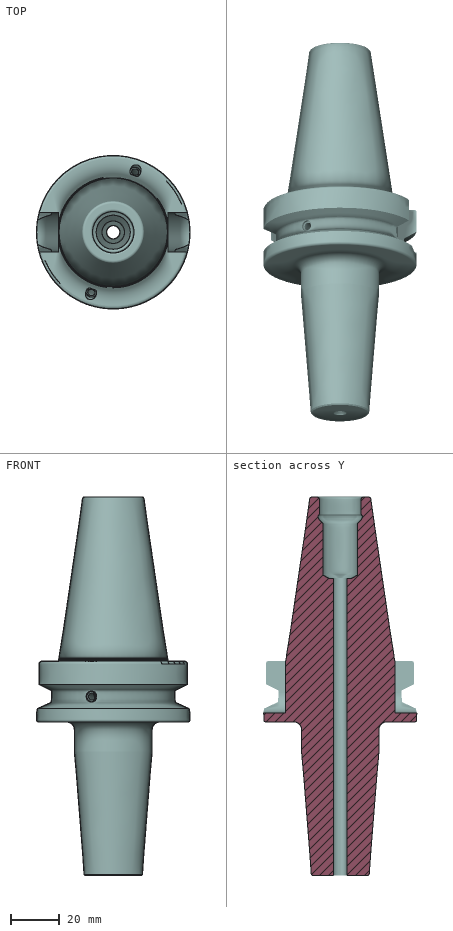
import cadquery as cq
import math


taper_ratio = 7 / 24
taper_length = 65.4
gauge_radius = 44.45 / 2
taper_end_radius = gauge_radius - taper_length * taper_ratio / 2
taper_end_fillet = 1.0

taper_land = 0.6
step_radius = 22.4
step_top_z = -1.1
step_flare = 0.4

flange_radius = 63.0 / 2
flange_top_z = -2.0
flange_bottom_z = -27.0
flange_top_fillet = 1.2
flange_bottom_fillet = 1.0
groove_radius = 53.0 / 2
groove_center_z = -16.5
groove_mouth_width = 10.0
groove_floor_width = 4.8
groove_fillet = 0.6

slot_width = 16.1
slot_floor_distance = 22.5
slot_bottom_z = -23.2

nose_end_z = -90.0
nose_end_radius = 12.0
nose_end_chamfer = 0.5
collar_radius = 16.0
collar_fillet = 3.0
nose_angle = math.radians(4.5)
nose_cone_length = (collar_radius - nose_end_radius) / math.tan(nose_angle)

bore_radius = 8.5
bore_mouth_fillet = 0.9
bore_depth = 7.0
relief_radius = 9.0
relief_width = 2.4
relief_flank = 0.9
thread_radius = 7.0
thread_depth = 32.0
drill_cone_end_radius = 4.6
drill_cone_angle = math.radians(60)
through_radius = 2.7

coolant_angles = (70, 250)
coolant_diameter = 3.0
coolant_mouth_diameter = 4.4
coolant_mouth_depth = 1.0
coolant_mouth_distance = 26.8
coolant_tilt = math.radians(30)


profile_plane = cq.Plane(origin=(0, 0, 0), xDir=(0, -1, 0), normal=(-1, 0, 0))


def groove_floor_edges():
    """Box selector around the groove floor; its circles are where the floor meets the sloping walls."""
    return cq.selectors.BoxSelector(
        (-flange_radius, -flange_radius, groove_center_z - groove_floor_width),
        (flange_radius, flange_radius, groove_center_z + groove_floor_width),
    )


def make_body():
    """Revolve the outer outline: nose, collar, flange and taper."""
    groove_top_z = groove_center_z + groove_mouth_width / 2
    groove_low_z = groove_center_z - groove_mouth_width / 2
    outline = (
        cq.Workplane(profile_plane)
        .moveTo(0, nose_end_z)
        .lineTo(nose_end_radius - nose_end_chamfer, nose_end_z)
        .lineTo(nose_end_radius, nose_end_z + nose_end_chamfer)
        .lineTo(collar_radius, nose_end_z + nose_cone_length)
        .lineTo(collar_radius, flange_bottom_z - collar_fillet)
        .radiusArc((collar_radius + collar_fillet, flange_bottom_z), collar_fillet)
        .lineTo(flange_radius - flange_bottom_fillet, flange_bottom_z)
        .radiusArc((flange_radius, flange_bottom_z + flange_bottom_fillet), -flange_bottom_fillet)
        .lineTo(flange_radius, groove_low_z)
        .lineTo(groove_radius, groove_center_z - groove_floor_width / 2)
        .lineTo(groove_radius, groove_center_z + groove_floor_width / 2)
        .lineTo(flange_radius, groove_top_z)
        .lineTo(flange_radius, flange_top_z - flange_top_fillet)
        .radiusArc((flange_radius - flange_top_fillet, flange_top_z), -flange_top_fillet)
        .lineTo(step_radius + step_flare, flange_top_z)
        .radiusArc((step_radius, flange_top_z + step_flare), step_flare)
        .lineTo(step_radius, step_top_z)
        .lineTo(gauge_radius, -taper_land)
        .lineTo(gauge_radius, 0)
        .lineTo(taper_end_radius, taper_length - taper_end_fillet)
        .radiusArc((taper_end_radius - taper_end_fillet, taper_length), -taper_end_fillet)
        .lineTo(0, taper_length)
        .close()
    )
    body = outline.revolve(360, (0, 0, 0), (0, 1, 0))
    return body.edges("%CIRCLE").edges(groove_floor_edges()).fillet(groove_fillet)


def make_bore():
    """Revolve the stepped axial bore that runs through the whole part."""
    step_z = taper_length - bore_depth
    relief_low_z = step_z - relief_width
    cone_z = taper_length - thread_depth
    cone_height = (thread_radius - drill_cone_end_radius) / math.tan(drill_cone_angle)
    return (
        cq.Workplane(profile_plane)
        .moveTo(0, nose_end_z)
        .lineTo(through_radius, nose_end_z)
        .lineTo(through_radius, cone_z - cone_height)
        .lineTo(drill_cone_end_radius, cone_z - cone_height)
        .lineTo(thread_radius, cone_z)
        .lineTo(thread_radius, relief_low_z - (bore_radius - thread_radius))
        .lineTo(bore_radius, relief_low_z)
        .lineTo(relief_radius, relief_low_z + relief_flank)
        .lineTo(relief_radius, step_z - relief_flank)
        .lineTo(bore_radius, step_z)
        .lineTo(bore_radius, taper_length - bore_mouth_fillet)
        .radiusArc((bore_radius + bore_mouth_fillet, taper_length), bore_mouth_fillet)
        .lineTo(0, taper_length)
        .close()
        .revolve(360, (0, 0, 0), (0, 1, 0))
    )


def make_slot(side):
    """Round-bottomed drive slot, open upwards and outwards, on side -1 or +1 of X."""
    arc_z = slot_bottom_z + slot_width / 2
    half = slot_width / 2
    return (
        cq.Workplane("YZ", origin=(side * slot_floor_distance, 0, 0))
        .moveTo(-half, 0)
        .lineTo(-half, arc_z)
        .threePointArc((0, slot_bottom_z), (half, arc_z))
        .lineTo(half, 0)
        .close()
        .extrude(side * flange_radius)
    )


def stepped_hole(start, direction, length):
    """Hole running from its inner end to the surface, widened over the last stretch at the mouth."""
    mouth = start + direction * (length - coolant_mouth_depth)
    overrun = coolant_mouth_diameter
    narrow = cq.Solid.makeCylinder(coolant_diameter / 2, length, start, direction)
    wide = cq.Solid.makeCylinder(coolant_mouth_diameter / 2, coolant_mouth_depth + overrun, mouth, direction)
    return cq.Workplane(narrow).union(cq.Workplane(wide))


def make_coolant_holes(angle):
    """Tilted hole from the flange top plus the radial plug hole that meets it from the groove."""
    drop = flange_top_z - groove_center_z
    meeting_radius = coolant_mouth_distance - drop * math.tan(coolant_tilt)
    meeting = cq.Vector(meeting_radius, 0, groove_center_z)
    outward = cq.Vector(1, 0, 0)
    upward = cq.Vector(math.sin(coolant_tilt), 0, math.cos(coolant_tilt))
    radial_length = groove_radius - meeting_radius
    tilted_length = drop / math.cos(coolant_tilt)
    radial = stepped_hole(meeting, outward, radial_length)
    tilted = stepped_hole(meeting, upward, tilted_length)
    return radial.union(tilted).rotate((0, 0, 0), (0, 0, 1), angle)


result = make_body().cut(make_bore())
for side in (-1, 1):
    result = result.cut(make_slot(side))
for angle in coolant_angles:
    result = result.cut(make_coolant_holes(angle))